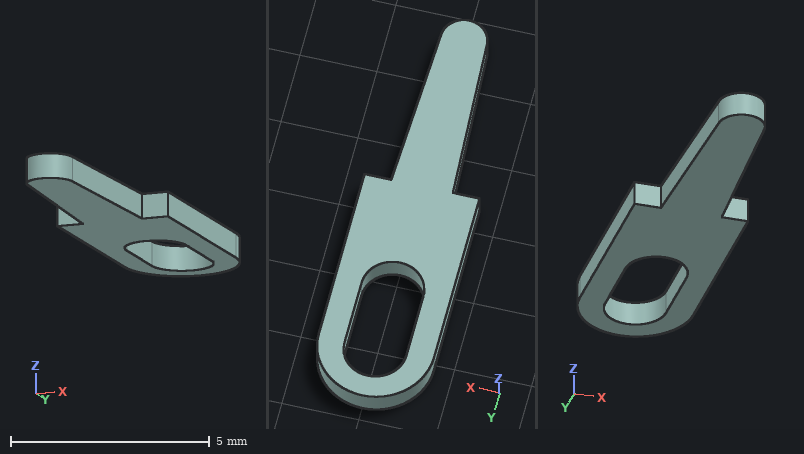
import cadquery as cq

length = 11.3
width = 3.0
thickness = 0.64

head_length = 6.3
head_radius = width / 2

slot_width = 1.6
slot_length = 3.4
slot_end_wall = 0.6

tail_root_width = 1.6
tail_tip_width = 1.2
tip_radius = tail_tip_width / 2

head_end_y = length / 2
tip_y = -length / 2
shoulder_y = head_end_y - head_length
slot_center_y = head_end_y - slot_end_wall - slot_length / 2


def make_head():
    """Plate with square shoulders and a semicircular far end."""
    arc_start_y = head_end_y - head_radius
    return (
        cq.Workplane("XY")
        .moveTo(-width / 2, shoulder_y)
        .lineTo(width / 2, shoulder_y)
        .lineTo(width / 2, arc_start_y)
        .threePointArc((0, head_end_y), (-width / 2, arc_start_y))
        .close()
        .extrude(thickness)
    )


def make_tail():
    """Tongue narrowing from the shoulders to a semicircular tip."""
    arc_start_y = tip_y + tip_radius
    return (
        cq.Workplane("XY")
        .moveTo(tail_root_width / 2, shoulder_y)
        .lineTo(-tail_root_width / 2, shoulder_y)
        .lineTo(-tail_tip_width / 2, arc_start_y)
        .threePointArc((0, tip_y), (tail_tip_width / 2, arc_start_y))
        .close()
        .extrude(thickness)
    )


def make_slot():
    """Round-ended cutter running along Y."""
    return (
        cq.Workplane("XY")
        .center(0, slot_center_y)
        .slot2D(slot_length, slot_width, 90)
        .extrude(thickness)
    )


result = make_head().union(make_tail()).cut(make_slot())